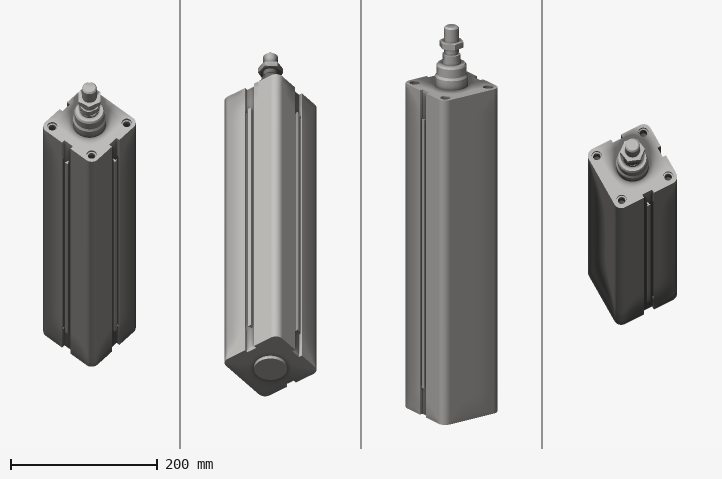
import cadquery as cq
import math


total_height = 561.0
foot_height = 5.0
cap_height = 40.5
body_top = 476.0
rear_joint = foot_height + cap_height
front_joint = body_top - cap_height

side = 95.5
corner_radius = 10.5
groove_width = 15.0
groove_depth = 5.0
groove_angles = (-90, 0, 90)

rail_width = 5.0
rail_head_depth = 1.0
rail_neck_width = 2.0

undercut_width = 19.0
undercut_lip = 1.5

screw_spacing = 72.0
screw_head_diameter = 14.0
screw_head_depth = 3.5
screw_hole_diameter = 10.0
screw_hole_depth = 17.0
drill_tip_angle = 118

boss_diameter = 45.0
boss_height = 17.0
boss_bevel_height = 3.5
nose_diameter = 41.0
nose_height = 32.0
nose_bevel_height = 3.0
nose_bevel_inset = 1.5

rod_diameter = 25.0
rod_end_diameter = 24.5
rod_end_height = 10.0
rod_shoulder = 521.0
neck_diameter = 18.0
neck_height = 3.0
thread_diameter = 20.0
thread_chamfer = 1.95
flats_distance = 22.5
flats_height = 9.0

nut_across_flats = 30.0
nut_height = 8.5
nut_face_diameter = 29.0
nut_bevel_angle = 10
nut_bottom = 531.0
nut_corner_angle = 10
half_hexagon_step = 30


def grooved_block(bottom, height):
    """Square block with rounded corners and a groove up three of its sides."""
    block = (
        cq.Workplane("XY", origin=(0, 0, bottom))
        .rect(side, side)
        .extrude(height)
        .edges("|Z")
        .fillet(corner_radius)
    )
    groove = (
        cq.Workplane("XY", origin=(0, 0, bottom))
        .center(0, (groove_depth - side) / 2)
        .rect(groove_width, groove_depth)
        .extrude(height)
    )
    for angle in groove_angles:
        block = block.cut(groove.rotate((0, 0, 0), (0, 0, 1), angle))
    return block


def screw_hole():
    """Counterbored blind hole with a drill tip, going down from Z = 0."""
    head_radius = screw_head_diameter / 2
    hole_radius = screw_hole_diameter / 2
    tip_height = hole_radius / math.tan(math.radians(drill_tip_angle / 2))
    return (
        cq.Workplane("XZ")
        .polyline([
            (0, 0),
            (head_radius, 0),
            (head_radius, -screw_head_depth),
            (hole_radius, -screw_head_depth),
            (hole_radius, -screw_hole_depth),
            (0, -screw_hole_depth - tip_height),
        ])
        .close()
        .revolve(360, (0, 0), (0, 1))
    )


def make_rear_cap():
    foot = cq.Workplane("XY").circle(boss_diameter / 2).extrude(foot_height)
    return grooved_block(foot_height, cap_height).union(foot)


def make_barrel():
    height = front_joint - rear_joint

    def strip(width, near, far):
        """Full-length bar lying between two depths behind the -Y face."""
        return (
            cq.Workplane("XY", origin=(0, -side / 2, rear_joint))
            .center(0, (near + far) / 2)
            .rect(width, far - near)
            .extrude(height)
        )

    undercut = strip(undercut_width, undercut_lip, groove_depth)
    rail_head = strip(rail_width, 0, rail_head_depth)
    rail_neck = strip(rail_neck_width, rail_head_depth, groove_depth)
    rail = rail_head.union(rail_neck)

    barrel = grooved_block(rear_joint, height)
    for angle in groove_angles:
        barrel = barrel.cut(undercut.rotate((0, 0, 0), (0, 0, 1), angle))
        barrel = barrel.union(rail.rotate((0, 0, 0), (0, 0, 1), angle))
    return barrel


def make_front_cap():
    cap = grooved_block(front_joint, cap_height)

    boss_radius = boss_diameter / 2
    nose_radius = nose_diameter / 2
    boss = (
        cq.Workplane("XZ", origin=(0, 0, body_top))
        .polyline([
            (0, 0),
            (boss_radius, 0),
            (boss_radius, boss_height - boss_bevel_height),
            (nose_radius, boss_height),
            (nose_radius, nose_height - nose_bevel_height),
            (nose_radius - nose_bevel_inset, nose_height),
            (0, nose_height),
        ])
        .close()
        .revolve(360, (0, 0), (0, 1))
    )
    bore = (
        cq.Workplane("XY", origin=(0, 0, front_joint))
        .circle(rod_diameter / 2)
        .extrude(cap_height + nose_height)
    )
    cap = cap.union(boss).cut(bore)

    for x in (-screw_spacing / 2, screw_spacing / 2):
        for y in (-screw_spacing / 2, screw_spacing / 2):
            cap = cap.cut(screw_hole().translate((x, y, body_top)))
    return cap


def make_rod():
    rod_end_bottom = rod_shoulder - rod_end_height
    neck_top = rod_shoulder + neck_height
    shank = (
        cq.Workplane("XY", origin=(0, 0, front_joint))
        .circle(rod_diameter / 2)
        .extrude(rod_end_bottom - front_joint)
    )
    rod_end = (
        cq.Workplane("XY", origin=(0, 0, rod_end_bottom))
        .circle(rod_end_diameter / 2)
        .extrude(rod_end_height)
    )
    neck = (
        cq.Workplane("XY", origin=(0, 0, rod_shoulder))
        .circle(neck_diameter / 2)
        .extrude(neck_height)
    )
    thread = (
        cq.Workplane("XY", origin=(0, 0, neck_top))
        .circle(thread_diameter / 2)
        .extrude(total_height - neck_top)
        .faces(">Z")
        .chamfer(thread_chamfer)
    )

    flat_cut_depth = (rod_end_diameter - flats_distance) / 2
    flat_cuts = (
        cq.Workplane("XY", origin=(0, 0, rod_shoulder - flats_height))
        .pushPoints([(sign * (flats_distance + flat_cut_depth) / 2, 0) for sign in (-1, 1)])
        .rect(flat_cut_depth, rod_end_diameter)
        .extrude(flats_height)
        .rotate((0, 0, 0), (0, 0, 1), nut_corner_angle - half_hexagon_step)
    )
    return shank.union(rod_end.cut(flat_cuts)).union(neck).union(thread)


def make_nut():
    corner_distance = nut_across_flats / math.sqrt(3)
    nut_face_radius = nut_face_diameter / 2
    bevel_height = (corner_distance - nut_face_radius) * math.tan(math.radians(nut_bevel_angle))
    hexagon = (
        cq.Workplane("XY", origin=(0, 0, nut_bottom))
        .polygon(6, 2 * corner_distance)
        .extrude(nut_height)
        .rotate((0, 0, 0), (0, 0, 1), nut_corner_angle)
    )
    envelope = (
        cq.Workplane("XZ", origin=(0, 0, nut_bottom))
        .polyline([
            (0, 0),
            (nut_face_radius, 0),
            (corner_distance, bevel_height),
            (corner_distance, nut_height - bevel_height),
            (nut_face_radius, nut_height),
            (0, nut_height),
        ])
        .close()
        .revolve(360, (0, 0), (0, 1))
    )
    thread_hole = (
        cq.Workplane("XY", origin=(0, 0, nut_bottom))
        .circle(thread_diameter / 2)
        .extrude(nut_height)
    )
    return hexagon.intersect(envelope).cut(thread_hole)


rear_cap = make_rear_cap()
barrel = make_barrel()
front_cap = make_front_cap()
rod = make_rod()
nut = make_nut()

result = cq.Compound.makeCompound([
    rear_cap.val(),
    barrel.val(),
    front_cap.val(),
    rod.val(),
    nut.val(),
])